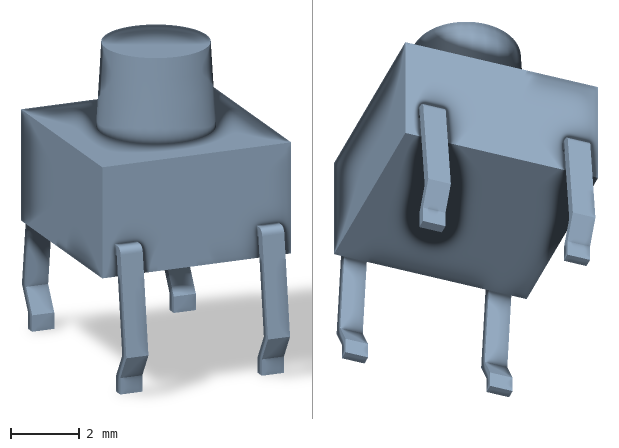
import cadquery as cq

total_height = 9.5
body_width = 6.0
housing_bottom = 3.5
cover_top = 6.91
cover_thickness = 0.27
housing_top = cover_top - cover_thickness

button_base_diameter = 3.51
button_top_diameter = 3.2

lead_span = 7.7
lead_thickness = 0.3
lead_width = 0.7
lead_pitch = 4.5
lead_top = 4.49
lead_bend_radius = 0.23
knee_height = 1.24
foot_height = 0.5
foot_outer_x = 3.4
shoulder_outer_x = foot_outer_x
knee_outer_x = lead_span / 2


def make_lead(y_center):
    """Lead on the +X side, running from the housing wall down to its foot."""
    wall_x = body_width / 2
    shoulder_underside = lead_top - lead_thickness
    shank_slope = (knee_outer_x - shoulder_outer_x) / (lead_top - knee_height)
    shoulder_inner_x = shoulder_outer_x + shank_slope * lead_thickness - lead_thickness
    profile = [
        (wall_x, lead_top),
        (shoulder_outer_x, lead_top),
        (knee_outer_x, knee_height),
        (foot_outer_x, foot_height),
        (foot_outer_x, 0),
        (foot_outer_x - lead_thickness, 0),
        (foot_outer_x - lead_thickness, foot_height),
        (knee_outer_x - lead_thickness, knee_height),
        (shoulder_inner_x, shoulder_underside),
        (wall_x, shoulder_underside),
    ]
    lead = (
        cq.Workplane("XZ", origin=(0, y_center, 0))
        .polyline(profile)
        .close()
        .extrude(lead_width / 2, both=True)
    )
    shoulder_edge = cq.selectors.NearestToPointSelector((shoulder_outer_x, y_center, lead_top))
    return lead.edges(shoulder_edge).fillet(lead_bend_radius)


def make_housing():
    """Square housing carrying four leads, two on each X side."""
    housing = (
        cq.Workplane("XY", origin=(0, 0, housing_bottom))
        .rect(body_width, body_width)
        .extrude(housing_top - housing_bottom)
    )
    for y_center in (-lead_pitch / 2, lead_pitch / 2):
        lead = make_lead(y_center)
        housing = housing.union(lead).union(lead.mirror("YZ"))
    return housing


def make_cover():
    """Flat plate closing the top of the housing."""
    return (
        cq.Workplane("XY", origin=(0, 0, housing_top))
        .rect(body_width, body_width)
        .extrude(cover_thickness)
    )


def make_button():
    """Round button standing on the cover and narrowing toward its top."""
    return (
        cq.Workplane("XY", origin=(0, 0, cover_top))
        .circle(button_base_diameter / 2)
        .workplane(offset=total_height - cover_top)
        .circle(button_top_diameter / 2)
        .loft(ruled=True)
    )


housing = make_housing()
cover = make_cover()
button = make_button()

result = cq.Compound.makeCompound([housing.solids().val(), cover.val(), button.val()])